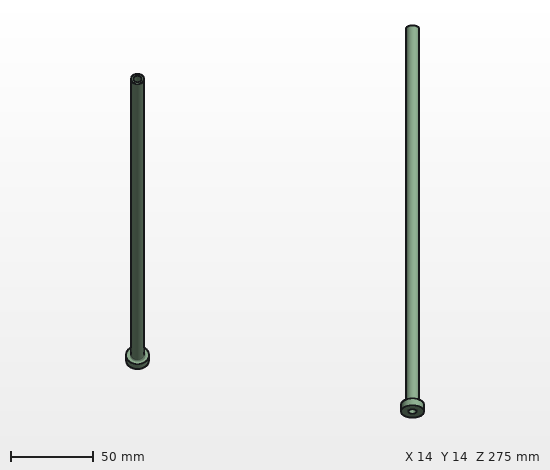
import cadquery as cq

overall_length = 275.0
head_diameter = 14.0
head_height = 5.0
shaft_diameter = 8.0
bore_diameter = 5.0
head_fillet = 0.5

head_bottom = -overall_length / 2


def upright_cylinder(diameter, height):
    """Cylinder on the Z axis, standing on the bottom of the head."""
    base = cq.Workplane("XY").workplane(offset=head_bottom)
    return base.circle(diameter / 2).extrude(height)


head = upright_cylinder(head_diameter, head_height)
shaft = upright_cylinder(shaft_diameter, overall_length)
bore = upright_cylinder(bore_diameter, overall_length)

corner = cq.selectors.RadiusNthSelector(0)
sleeve = head.union(shaft)
sleeve = sleeve.faces("<Z[1]").edges(corner).fillet(head_fillet)

result = sleeve.cut(bore)